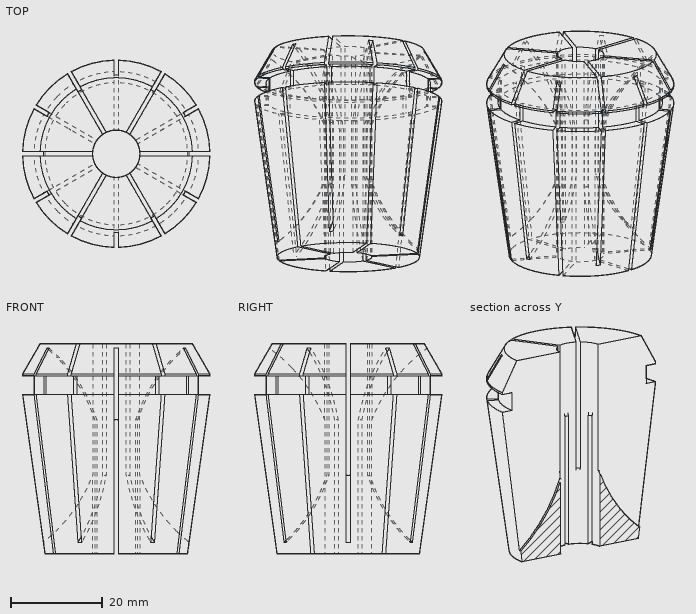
import cadquery as cq
import math


height = 46.0
max_diameter = 41.0
nose_radius = 16.65
nose_half_angle = 30.0
rim_bottom = 38.9
groove_bottom = 34.85
groove_radius = 18.0
taper_half_angle = 8.0
bore_radius = 5.15

slit_pairs = 6
slit_width = 0.9
cutter_radius = 34.5
cutter_axis_radius = 37.35
top_slit_cutter_z = 29.6
bottom_slit_cutter_z = 16.97
overrun = 0.45

max_radius = max_diameter / 2
rim_top = height - (max_radius - nose_radius) / math.tan(math.radians(nose_half_angle))
tail_radius = max_radius - groove_bottom * math.tan(math.radians(taper_half_angle))


def turned_body():
    """Taper, groove, narrow rim and conical nose, revolved around the bore."""
    half_section = [
        (bore_radius, 0),
        (tail_radius, 0),
        (max_radius, groove_bottom),
        (groove_radius, groove_bottom),
        (groove_radius, rim_bottom),
        (max_radius, rim_bottom),
        (max_radius, rim_top),
        (nose_radius, height),
        (bore_radius, height),
    ]
    return cq.Workplane("XZ").polyline(half_section).close().revolve(360, (0, 0), (0, 1))


def slit(cutter_z, open_end_z, angle):
    """Radial slit from an open end face to the quarter-round left by the disc."""
    toward_floor = math.copysign(1, cutter_z - open_end_z)
    inner_edge = cutter_axis_radius - cutter_radius
    diagonal = cutter_radius * math.sqrt(0.5)
    arc_middle = (cutter_axis_radius - diagonal, cutter_z + toward_floor * diagonal)
    arc_end = (cutter_axis_radius, cutter_z + toward_floor * cutter_radius)
    return (
        cq.Workplane("XZ")
        .moveTo(inner_edge, cutter_z)
        .threePointArc(arc_middle, arc_end)
        .lineTo(cutter_axis_radius, open_end_z)
        .lineTo(inner_edge, open_end_z)
        .close()
        .extrude(slit_width / 2, both=True)
        .rotate((0, 0, 0), (0, 0, 1), angle)
    )


result = turned_body()
pitch_angle = 360 / slit_pairs
for index in range(slit_pairs):
    top_angle = index * pitch_angle
    bottom_angle = top_angle + pitch_angle / 2
    result = result.cut(slit(top_slit_cutter_z, height + overrun, top_angle))
    result = result.cut(slit(bottom_slit_cutter_z, -overrun, bottom_angle))